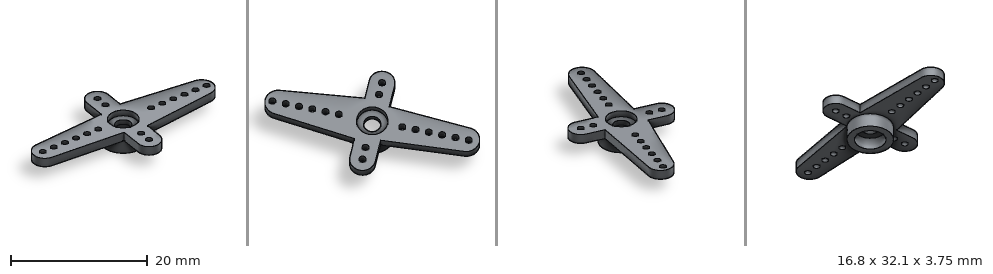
import cadquery as cq
import math

total_length = 32.15
total_width = 16.75
total_height = 3.75
plate_thickness = 1.5
hub_height = total_height - plate_thickness

side_arm_half_width = 1.9
long_tip_radius = 2.0
upper_root_half_width = 3.45
lower_root_half_width = 2.85
long_tip_center = total_length / 2 - long_tip_radius

hub_diameter = 6.8
recess_diameter = 4.6
recess_depth = 1.0
bore_diameter = 2.5
web_thickness = 0.8
socket_diameter = recess_diameter
socket_depth = total_height - recess_depth - web_thickness

link_hole_diameter = 1.0
link_hole_pitch = 2.0
long_arm_hole_count = 6
side_arm_hole_count = 2
upper_first_hole = 5.0
lower_first_hole = 4.5
side_first_hole = 4.5


def tapered_arm(root_half_width, direction):
    """Arm along +Y or -Y whose straight flanks run tangent into a round tip."""
    run = long_tip_center - side_arm_half_width
    distance = math.hypot(root_half_width, run)
    corner_angle = math.atan2(-run, root_half_width)
    tangent_angle = corner_angle + math.acos(long_tip_radius / distance)
    tangent_x = long_tip_radius * math.cos(tangent_angle)
    tangent_y = long_tip_center + long_tip_radius * math.sin(tangent_angle)
    return (
        cq.Workplane("XY", origin=(0, 0, hub_height))
        .moveTo(-root_half_width, 0)
        .lineTo(root_half_width, 0)
        .lineTo(root_half_width, direction * side_arm_half_width)
        .lineTo(tangent_x, direction * tangent_y)
        .threePointArc((0, direction * total_length / 2), (-tangent_x, direction * tangent_y))
        .lineTo(-root_half_width, direction * side_arm_half_width)
        .close()
        .extrude(plate_thickness)
    )


def side_arms():
    """Straight crossbar along X with full-round ends."""
    return (
        cq.Workplane("XY", origin=(0, 0, hub_height))
        .slot2D(total_width, 2 * side_arm_half_width)
        .extrude(plate_thickness)
    )


def hole_row(first, count):
    """Distances of a row of linkage holes from the hub axis."""
    return [first + i * link_hole_pitch for i in range(count)]


hub = cq.Workplane("XY").circle(hub_diameter / 2).extrude(hub_height)
body = (
    side_arms()
    .union(tapered_arm(upper_root_half_width, 1))
    .union(tapered_arm(lower_root_half_width, -1))
    .union(hub)
)

bore = cq.Workplane("XY").circle(bore_diameter / 2).extrude(total_height)
recess = (
    cq.Workplane("XY", origin=(0, 0, total_height - recess_depth))
    .circle(recess_diameter / 2)
    .extrude(recess_depth)
)
socket = cq.Workplane("XY").circle(socket_diameter / 2).extrude(socket_depth)

link_points = [(0, y) for y in hole_row(upper_first_hole, long_arm_hole_count)]
link_points += [(0, -y) for y in hole_row(lower_first_hole, long_arm_hole_count)]
for x in hole_row(side_first_hole, side_arm_hole_count):
    link_points += [(x, 0), (-x, 0)]
link_holes = (
    cq.Workplane("XY", origin=(0, 0, hub_height))
    .pushPoints(link_points)
    .circle(link_hole_diameter / 2)
    .extrude(plate_thickness)
)

result = body.cut(bore).cut(recess).cut(socket).cut(link_holes)